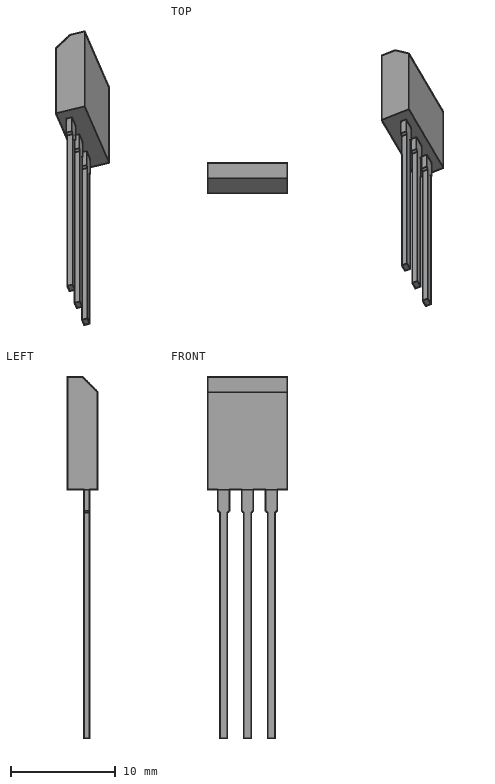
import cadquery as cq

HOUSING_WIDTH = 7.6
HOUSING_DEPTH = 2.9
HOUSING_HEIGHT = 10.75
CHAMFER_SIZE = 1.45

OVERALL_HEIGHT = 34.48
LEAD_COUNT = 3
LEAD_PITCH = 2.28
LEAD_WIDTH = 0.72
LEAD_THICKNESS = 0.55
LEAD_FRONT_Y = 0.75
LEAD_LENGTH = OVERALL_HEIGHT - HOUSING_HEIGHT
NECK_WIDTH = 1.15
NECK_LENGTH = 2.0
SHOULDER_HEIGHT = (NECK_WIDTH - LEAD_WIDTH) / 2


def make_housing():
    """Block with the top front edge cut off at 45 degrees."""
    return (
        cq.Workplane("XY")
        .box(HOUSING_WIDTH, HOUSING_DEPTH, HOUSING_HEIGHT, centered=(True, False, False))
        .faces("<Y")
        .edges(">Z")
        .chamfer(CHAMFER_SIZE)
    )


def make_lead(center_x):
    """Flat lead that steps down from its neck through two sloped shoulders."""
    half_neck = NECK_WIDTH / 2
    half_lead = LEAD_WIDTH / 2
    shoulder_bottom = -NECK_LENGTH - SHOULDER_HEIGHT
    outline = [
        (-half_neck, 0),
        (half_neck, 0),
        (half_neck, -NECK_LENGTH),
        (half_lead, shoulder_bottom),
        (half_lead, -LEAD_LENGTH),
        (-half_lead, -LEAD_LENGTH),
        (-half_lead, shoulder_bottom),
        (-half_neck, -NECK_LENGTH),
    ]
    return (
        cq.Workplane("XZ", origin=(center_x, LEAD_FRONT_Y, 0))
        .polyline(outline)
        .close()
        .extrude(-LEAD_THICKNESS)
    )


housing = make_housing()

leads = []
for index in range(LEAD_COUNT):
    lead_x = (index - (LEAD_COUNT - 1) / 2) * LEAD_PITCH
    leads.append(make_lead(lead_x))

result = cq.Compound.makeCompound([housing.val(), *[lead.val() for lead in leads]])